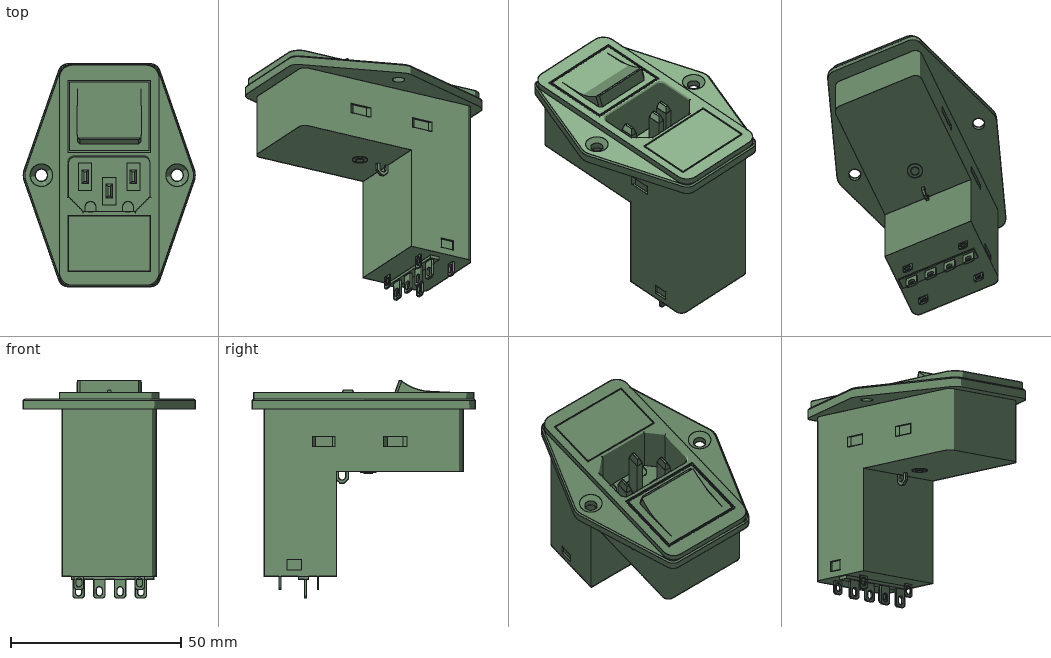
import cadquery as cq
import math


EMBED = 0.65

FLANGE_LENGTH = 65.5
FLANGE_HALF_END = 14.15
FLANGE_HALF_MIDDLE = 25.55
FLANGE_THICKNESS = 2.95
FLANGE_END_RADIUS = 2.95
FLANGE_POINT_RADIUS = 5.0
FLANGE_EDGE_CHAMFER = 0.45
BEZEL_WIDTH = 29.2
BEZEL_LENGTH = FLANGE_LENGTH - 2 * FLANGE_EDGE_CHAMFER
BEZEL_RADIUS = 3.7
BEZEL_TOP = 4.9

SCREW_OFFSET = 19.9
SCREW_DIAMETER = 3.55
SCREW_HEAD_DIAMETER = 6.6
COUNTERSINK_ANGLE = 110

BODY_WIDTH = 27.65
BODY_LENGTH = 58.4
BODY_RADIUS = 2.1
SHALLOW_DEPTH = 18.4
LEG_DEPTH = 49.1
LEG_STEP_Y = -8.0

WINDOW_DEPTH = 0.65
WINDOW_HEIGHT = 2.95
LATCH_WINDOW_Z = -9.5
LEG_WINDOW_Z = -45.7
SIDE_WINDOWS = [
    (9.25, LATCH_WINDOW_Z, 6.8, 1.1),
    (-11.7, LATCH_WINDOW_Z, 6.7, 0.85),
    (-20.4, LEG_WINDOW_Z, 4.2, 0.0),
]

OPENING_WIDTH = 24.3
SWITCH_LENGTH = 21.15
SWITCH_Y = 17.3
SWITCH_GROOVE_WIDTH = 0.5
SWITCH_GROOVE_DEPTH = 0.4
DRAWER_LENGTH = 16.3
DRAWER_Y = -20.05
DRAWER_SEAM_WIDTH = 0.1
DRAWER_SEAM_DEPTH = 0.2

ROCKER_END_WIDTH = 18.6
ROCKER_MIDDLE_WIDTH = 19.0
ROCKER_MIDDLE_Y = 14.75
ROCKER_BACK_Y = 25.3
ROCKER_HOLLOW_Y = 20.0
ROCKER_PEAK_Y = 10.95
ROCKER_NOSE_Y = 10.4
ROCKER_FRONT_Y = 9.2
ROCKER_FLAT_Z = 5.2
ROCKER_TOP_Z = 8.4
ROCKER_CORNER_CHAMFER = 0.7

INLET_HALF_WIDTH = 11.9
INLET_BACK_Y = 5.4
INLET_FRONT_Y = -10.7
INLET_CORNER_CUT = 4.3
INLET_RADIUS = 1.8
INLET_RIM_RADIUS = 0.6
INLET_FLOOR_Z = -10.5
FLOOR_RECESS_DEPTH = 0.3
FINGER_NOTCH_X = 5.5
FINGER_NOTCH_WIDTH = 3.15
FINGER_NOTCH_TOP_Y = -7.7

PIN_WIDTH = 1.95
PIN_LENGTH = 4.05
PIN_TIP_INSET = 0.65
PIN_TIP_HEIGHT = 1.95
PIN_POCKET_WIDTH = 3.85
PIN_POCKET_LENGTH = 8.05
LIVE_PIN_X = 7.1
LIVE_PIN_Y = -0.45
LIVE_PIN_TOP = 2.5
EARTH_PIN_Y = -4.65
EARTH_PIN_TOP = 5.65

BOTTOM_Z = -55.5
STRIP_X = 1.0
STRIP_Y = -17.7
STRIP_WIDTH = 24.25
STRIP_LENGTH = 2.95
STRIP_HEIGHT = 0.9
LONG_TAB_WIDTH = 3.35
LONG_TAB_PITCH = 6.1
LONG_TAB_CENTRE_X = 0.1
LONG_TAB_Y = -17.1
LONG_TAB_SLOT_Z = -53.5
SHORT_TAB_WIDTH = 2.75
SHORT_TAB_X = 8.9
SHORT_TAB_BOTTOM = -53.0
SHORT_TAB_SLOT_Z = -50.9
FRONT_TAB_Y = -24.55
REAR_TAB_Y = -13.4
TAB_THICKNESS = 0.65
REAR_TAB_THICKNESS = 0.4
TAB_CHAMFER = 0.5
TAB_SLOT_WIDTH = 1.8
TAB_SLOT_LENGTH = 2.6

EARTH_TAB_Y = -6.35
EARTH_TAB_WIDTH = 3.8
EARTH_TAB_BOTTOM = -21.8
EARTH_TAB_THICKNESS = 0.8
EARTH_TAB_CHAMFER = 1.3
EARTH_SLOT_WIDTH = 2.0
EARTH_SLOT_BOTTOM = -20.8
RIVET_Y = 1.3
RIVET_STEPS = [(2.2, 0.25), (1.25, 0.5)]


def block(x, y, z_low, z_high, width, length):
    """Upright box centred on (x, y)."""
    return (
        cq.Workplane("XY")
        .workplane(offset=z_low)
        .center(x, y)
        .rect(width, length)
        .extrude(z_high - z_low)
    )


def flange():
    half_length = FLANGE_LENGTH / 2
    outline = [
        (FLANGE_HALF_MIDDLE, 0),
        (FLANGE_HALF_END, half_length),
        (-FLANGE_HALF_END, half_length),
        (-FLANGE_HALF_MIDDLE, 0),
        (-FLANGE_HALF_END, -half_length),
        (FLANGE_HALF_END, -half_length),
    ]
    plate = cq.Workplane("XY").polyline(outline).close().extrude(FLANGE_THICKNESS)
    plate = plate.edges("|Z and (>X or <X)").fillet(FLANGE_POINT_RADIUS)
    plate = plate.edges("|Z and (>Y or <Y)").fillet(FLANGE_END_RADIUS)
    plate = plate.faces(">Z").chamfer(FLANGE_EDGE_CHAMFER)
    return (
        plate.faces(">Z")
        .workplane(origin=(0, 0, FLANGE_THICKNESS))
        .pushPoints([(-SCREW_OFFSET, 0), (SCREW_OFFSET, 0)])
        .cskHole(SCREW_DIAMETER, SCREW_HEAD_DIAMETER, COUNTERSINK_ANGLE)
    )


def bezel():
    plate = block(0, 0, 0, BEZEL_TOP, BEZEL_WIDTH, BEZEL_LENGTH)
    return plate.edges("|Z").fillet(BEZEL_RADIUS)


def body():
    housing = block(0, 0, -LEG_DEPTH, 0, BODY_WIDTH, BODY_LENGTH)
    housing = housing.edges("|Z").fillet(BODY_RADIUS)
    gap_length = BODY_LENGTH / 2 - LEG_STEP_Y
    gap_y = LEG_STEP_Y + gap_length / 2
    return housing.cut(block(0, gap_y, -LEG_DEPTH, -SHALLOW_DEPTH, BODY_WIDTH, gap_length))


def side_window(y, z, length, end_slope):
    """Shallow pockets in both body sides, with sloping ends."""
    half_open = length / 2
    half_floor = half_open - end_slope
    outer_x = BODY_WIDTH / 2
    floor_x = outer_x - WINDOW_DEPTH
    pocket = (
        cq.Workplane("XY")
        .workplane(offset=z - WINDOW_HEIGHT / 2)
        .polyline([
            (-outer_x, y - half_open),
            (-floor_x, y - half_floor),
            (-floor_x, y + half_floor),
            (-outer_x, y + half_open),
        ])
        .close()
        .extrude(WINDOW_HEIGHT)
    )
    return pocket.union(pocket.mirror("YZ"))


def bezel_groove(y, width, length, groove_width, depth):
    """Rectangular ring cut into the bezel top."""
    low = BEZEL_TOP - depth
    outer = block(0, y, low, BEZEL_TOP, width, length)
    inner = block(0, y, low, BEZEL_TOP, width - 2 * groove_width, length - 2 * groove_width)
    return outer.cut(inner)


def rocker_profile():
    """Side profile of the rocker at full width, sunk a little into the bezel."""
    rise = ROCKER_TOP_Z - ROCKER_FLAT_Z
    run = ROCKER_HOLLOW_Y - ROCKER_PEAK_Y
    hollow_radius = (run ** 2 + rise ** 2) / (2 * rise)
    half_angle = math.asin(run / hollow_radius) / 2
    hollow_middle = (
        ROCKER_HOLLOW_Y - hollow_radius * math.sin(half_angle),
        ROCKER_FLAT_Z + hollow_radius * (1 - math.cos(half_angle)),
    )
    base_z = BEZEL_TOP - EMBED
    return (
        cq.Workplane("YZ")
        .moveTo(ROCKER_BACK_Y, base_z)
        .lineTo(ROCKER_BACK_Y, BEZEL_TOP)
        .lineTo(ROCKER_HOLLOW_Y, ROCKER_FLAT_Z)
        .threePointArc(hollow_middle, (ROCKER_PEAK_Y, ROCKER_TOP_Z))
        .lineTo(ROCKER_NOSE_Y, ROCKER_TOP_Z)
        .lineTo(ROCKER_FRONT_Y, BEZEL_TOP)
        .lineTo(ROCKER_FRONT_Y, base_z)
        .close()
        .extrude(ROCKER_MIDDLE_WIDTH / 2, both=True)
    )


def rocker_plan():
    """Outline of the rocker seen from above, as a tall prism."""
    half_end = ROCKER_END_WIDTH / 2
    half_middle = ROCKER_MIDDLE_WIDTH / 2
    return (
        cq.Workplane("XY")
        .polyline([
            (-half_end, ROCKER_BACK_Y),
            (half_end, ROCKER_BACK_Y),
            (half_middle, ROCKER_MIDDLE_Y),
            (half_end, ROCKER_FRONT_Y),
            (-half_end, ROCKER_FRONT_Y),
            (-half_middle, ROCKER_MIDDLE_Y),
        ])
        .close()
        .extrude(ROCKER_TOP_Z)
    )


def rocker():
    key = rocker_profile().intersect(rocker_plan())
    nose_point = (0, (ROCKER_NOSE_Y + ROCKER_FRONT_Y) / 2, (ROCKER_TOP_Z + BEZEL_TOP) / 2)
    nose_face = key.faces(cq.selectors.NearestToPointSelector(nose_point))
    return nose_face.edges("not |X").chamfer(ROCKER_CORNER_CHAMFER)


def inlet_cavity():
    """Six-sided socket opening with two cut corners, without its pins."""
    shoulder_x = INLET_HALF_WIDTH - INLET_CORNER_CUT
    shoulder_y = INLET_FRONT_Y + INLET_CORNER_CUT
    cavity = (
        cq.Workplane("XY")
        .workplane(offset=INLET_FLOOR_Z)
        .polyline([
            (-INLET_HALF_WIDTH, INLET_BACK_Y),
            (INLET_HALF_WIDTH, INLET_BACK_Y),
            (INLET_HALF_WIDTH, shoulder_y),
            (shoulder_x, INLET_FRONT_Y),
            (-shoulder_x, INLET_FRONT_Y),
            (-INLET_HALF_WIDTH, shoulder_y),
        ])
        .close()
        .extrude(BEZEL_TOP - INLET_FLOOR_Z)
    )
    return cavity.edges("|Z and >Y").fillet(INLET_RADIUS)


def inlet_rim_selector():
    """Box around the top edges of the inlet cavity only."""
    margin = 0.3
    return cq.selectors.BoxSelector(
        (-INLET_HALF_WIDTH - margin, INLET_FRONT_Y - margin, BEZEL_TOP - margin),
        (INLET_HALF_WIDTH + margin, INLET_BACK_Y + margin, BEZEL_TOP + margin),
    )


def finger_notch(x):
    """Round-ended recess in the inlet floor against its front wall."""
    radius = FINGER_NOTCH_WIDTH / 2
    centre_y = FINGER_NOTCH_TOP_Y - radius
    low = INLET_FLOOR_Z - FLOOR_RECESS_DEPTH
    straight = centre_y - INLET_FRONT_Y
    notch = block(x, centre_y - straight / 2, low, INLET_FLOOR_Z, FINGER_NOTCH_WIDTH, straight)
    round_end = cq.Workplane("XY", origin=(x, centre_y, low)).circle(radius)
    return notch.union(round_end.extrude(FLOOR_RECESS_DEPTH))


def pin_pocket(x, y):
    low = INLET_FLOOR_Z - FLOOR_RECESS_DEPTH
    return block(x, y, low, INLET_FLOOR_Z, PIN_POCKET_WIDTH, PIN_POCKET_LENGTH)


def contact_pin(x, y, top):
    """Flat blade with a tapered tip."""
    shoulder = top - PIN_TIP_HEIGHT
    blade = block(x, y, INLET_FLOOR_Z - EMBED, shoulder, PIN_WIDTH, PIN_LENGTH)
    tip = (
        cq.Workplane("XY", origin=(x, y, shoulder))
        .rect(PIN_WIDTH, PIN_LENGTH)
        .workplane(offset=PIN_TIP_HEIGHT)
        .rect(PIN_WIDTH - 2 * PIN_TIP_INSET, PIN_LENGTH - 2 * PIN_TIP_INSET)
        .loft(ruled=True)
    )
    return blade.union(tip)


def solder_tab(x, y, bottom, width, thickness, slot_z):
    tab = block(x, y, bottom, -LEG_DEPTH + EMBED, width, thickness)
    tab = tab.edges("|Y and <Z").chamfer(TAB_CHAMFER)
    slot = (
        cq.Workplane("XZ", origin=(x, y, slot_z))
        .slot2D(TAB_SLOT_LENGTH, TAB_SLOT_WIDTH, 90)
        .extrude(thickness, both=True)
    )
    return tab.cut(slot)


def leg_terminals():
    strip = block(
        STRIP_X, STRIP_Y, -LEG_DEPTH - STRIP_HEIGHT, -LEG_DEPTH + EMBED, STRIP_WIDTH, STRIP_LENGTH
    )
    for step in (-1.5, -0.5, 0.5, 1.5):
        x = LONG_TAB_CENTRE_X + step * LONG_TAB_PITCH
        strip = strip.union(
            solder_tab(x, LONG_TAB_Y, BOTTOM_Z, LONG_TAB_WIDTH, TAB_THICKNESS, LONG_TAB_SLOT_Z)
        )
    for x in (-SHORT_TAB_X, SHORT_TAB_X):
        for y, thickness in ((FRONT_TAB_Y, TAB_THICKNESS), (REAR_TAB_Y, REAR_TAB_THICKNESS)):
            strip = strip.union(
                solder_tab(x, y, SHORT_TAB_BOTTOM, SHORT_TAB_WIDTH, thickness, SHORT_TAB_SLOT_Z)
            )
    return strip


def earth_tab():
    top = -SHALLOW_DEPTH + EMBED
    tab = block(0, EARTH_TAB_Y, EARTH_TAB_BOTTOM, top, EARTH_TAB_THICKNESS, EARTH_TAB_WIDTH)
    tab = tab.edges("|X and <Z").chamfer(EARTH_TAB_CHAMFER)
    slot_length = 2 * (-SHALLOW_DEPTH - EARTH_SLOT_BOTTOM)
    slot = (
        cq.Workplane("YZ", origin=(0, EARTH_TAB_Y, -SHALLOW_DEPTH))
        .slot2D(slot_length, EARTH_SLOT_WIDTH, 90)
        .extrude(EARTH_TAB_THICKNESS, both=True)
    )
    return tab.cut(slot)


def rivet():
    head = None
    for radius, height in RIVET_STEPS:
        stage = (
            cq.Workplane("XY", origin=(0, RIVET_Y, -SHALLOW_DEPTH - height))
            .circle(radius)
            .extrude(height + EMBED)
        )
        head = stage if head is None else head.union(stage)
    return head


result = flange().union(bezel()).union(body()).cut(inlet_cavity())
result = result.edges(inlet_rim_selector()).fillet(INLET_RIM_RADIUS)

for window_y, window_z, window_length, window_slope in SIDE_WINDOWS:
    result = result.cut(side_window(window_y, window_z, window_length, window_slope))
result = result.cut(
    bezel_groove(SWITCH_Y, OPENING_WIDTH, SWITCH_LENGTH, SWITCH_GROOVE_WIDTH, SWITCH_GROOVE_DEPTH)
)
result = result.cut(
    bezel_groove(DRAWER_Y, OPENING_WIDTH, DRAWER_LENGTH, DRAWER_SEAM_WIDTH, DRAWER_SEAM_DEPTH)
)
for notch_x in (-FINGER_NOTCH_X, FINGER_NOTCH_X):
    result = result.cut(finger_notch(notch_x))

for pin_x, pin_y, pin_top in (
    (-LIVE_PIN_X, LIVE_PIN_Y, LIVE_PIN_TOP),
    (LIVE_PIN_X, LIVE_PIN_Y, LIVE_PIN_TOP),
    (0, EARTH_PIN_Y, EARTH_PIN_TOP),
):
    result = result.cut(pin_pocket(pin_x, pin_y))
    result = result.union(contact_pin(pin_x, pin_y, pin_top))

result = result.union(rocker()).union(leg_terminals()).union(earth_tab()).union(rivet())